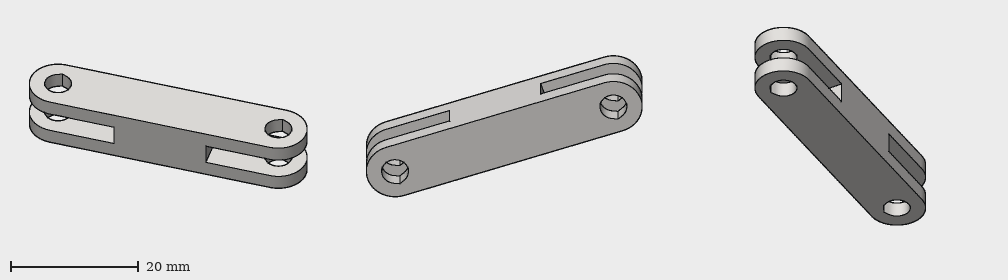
import cadquery as cq
import math

length = 45.0
width = 9.0
height = 8.5

slot_depth = 15.0
slot_height = 3.4
hole_diameter = 4.2
peak_height = 2.3

hole_spacing = length - width


def link_body():
    """Bar with full-round ends, centred on the origin."""
    return cq.Workplane("XY").slot2D(length, width).extrude(height / 2, both=True)


def fork_slot(side):
    """Slot cut across the full width at one end; side is -1 or +1 along X."""
    center_x = side * (length - slot_depth) / 2
    return cq.Workplane("XY").box(slot_depth, width, slot_height).translate((center_x, 0, 0))


def pin_hole(side):
    """Teardrop hole through both fork arms, concentric with the rounded end."""
    radius = hole_diameter / 2
    tangent_y = radius**2 / peak_height
    tangent_x = math.sqrt(radius**2 - tangent_y**2)
    return (
        cq.Workplane("XY")
        .center(side * hole_spacing / 2, 0)
        .moveTo(tangent_x, tangent_y)
        .lineTo(0, peak_height)
        .lineTo(-tangent_x, tangent_y)
        .threePointArc((0, -radius), (tangent_x, tangent_y))
        .close()
        .extrude(height / 2, both=True)
    )


result = link_body()
for side in (-1, 1):
    result = result.cut(fork_slot(side)).cut(pin_hole(side))